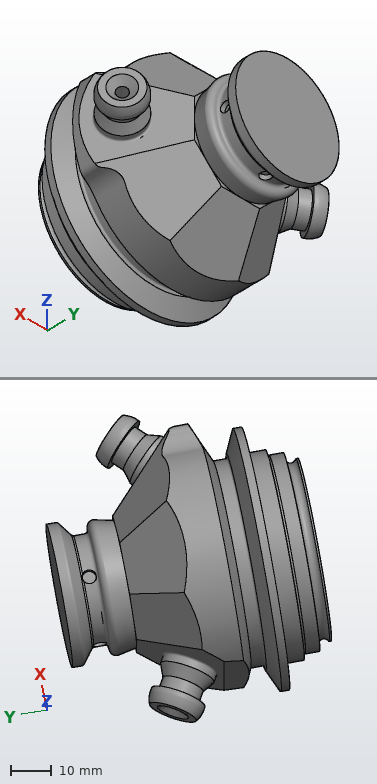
import cadquery as cq
import math


FACE_RADIUS = 45.9 / 2
FACE_LIP = 0.55
GROOVE_END = 3.3
GROOVE_END_RADIUS = 23.45
GROOVE_DEPTH = 0.9
SPIGOT_RADIUS = 25.0
SPIGOT_END = 6.9
RELIEF_RADIUS = 24.65
RELIEF_END = 7.5
SHOULDER_RADIUS = 52.85 / 2
FLANGE_START = 12.4
FLANGE_RADIUS = 66.0 / 2
FLANGE_RIM_END = 14.5
WAIST_RADIUS = 26.0
FLANGE_CONE_RADIUS = 27.2
FLANGE_CONE_END = 17.2
WAIST_FILLET = 0.5

FACETS = 8
BODY_START = 20.8
BODY_RADIUS = 31.1
BODY_END = 47.6
BODY_TOP_APOTHEM = 16.0
CONE_ANGLE = 24.0
STEEP_ANGLE = 30.0
FLAT_ANGLE = 5.0
FACET_ANGLE = 45.0
FLAT_TOP = 27.8

LUG_RADIUS = 36.1
LUG_HALF_WIDTH = 14.5
LUG_BLEND = 6.3
LUG_CORNER = 2.0

COLLAR_RADIUS = 17.0
COLLAR_END = 52.45
COLLAR_ROUND = 1.75
NECK_RADIUS = 14.0
NECK_FLARE = 0.9
NECK_END = 58.0
LIP_UNDERSIDE = 58.5
LIP_UNDER_RADIUS = 14.35
LIP_RADIUS = 18.0
LIP_EDGE_RADIUS = 17.7
LIP_EDGE_START = 61.0
LIP_START = 61.65
LIP_EDGE_SAG = 0.1
TOTAL_LENGTH = 64.0
DIMPLE_DIAMETER = 3.5
DIMPLE_DEPTH = 1.6
DIMPLE_Y = 56.5

PORT_RADIUS = 14.0 / 2
PORT_FOOT_RADIUS = 7.5
PORT_FOOT_HEIGHT = 0.5
PORT_BASE_HEIGHT = 2.2
PORT_NECK_RADIUS = 10.5 / 2
PORT_NECK_START = 5.4
PORT_RIM_START = 8.9
PORT_RIM_END = 10.2
PORT_LENGTH = 12.9
PORT_TIP_RADIUS = 6.1
PORT_BORE_RADIUS = 1.75
PORT_MOUTH_RADIUS = 4.05
PORT_MOUTH_DEPTH = 2.05
PORT_ROOT = 2.4
LEFT_PORT_DISTANCE = 14.0
RIGHT_PORT_DISTANCE = 17.75


def revolve_about_y(outline):
    return outline.close().revolve(360, (0, 0, 0), (0, 1, 0))


def make_front_end():
    fillet_offset = WAIST_FILLET * (1 - math.sqrt(0.5))
    groove_middle = (FACE_RADIUS - GROOVE_DEPTH, (FACE_LIP + GROOVE_END) / 2)
    outline = (
        cq.Workplane("XY")
        .lineTo(FACE_RADIUS, 0)
        .lineTo(FACE_RADIUS, FACE_LIP)
        .threePointArc(groove_middle, (GROOVE_END_RADIUS, GROOVE_END))
        .lineTo(SPIGOT_RADIUS, GROOVE_END)
        .lineTo(SPIGOT_RADIUS, SPIGOT_END)
        .lineTo(RELIEF_RADIUS, SPIGOT_END)
        .lineTo(RELIEF_RADIUS, RELIEF_END)
        .lineTo(SHOULDER_RADIUS, RELIEF_END)
        .lineTo(SHOULDER_RADIUS, FLANGE_START)
        .lineTo(FLANGE_RADIUS, FLANGE_START)
        .lineTo(FLANGE_RADIUS, FLANGE_RIM_END)
        .lineTo(FLANGE_CONE_RADIUS, FLANGE_CONE_END)
        .lineTo(WAIST_RADIUS + WAIST_FILLET, FLANGE_CONE_END)
        .threePointArc(
            (WAIST_RADIUS + fillet_offset, FLANGE_CONE_END + fillet_offset),
            (WAIST_RADIUS, FLANGE_CONE_END + WAIST_FILLET))
        .lineTo(WAIST_RADIUS, BODY_START)
        .lineTo(0, BODY_START)
    )
    return revolve_about_y(outline)


def make_lug(length):
    """Prism with concave blends into the body cylinder and rounded outer corners."""
    blend_z = LUG_HALF_WIDTH + LUG_BLEND
    blend_x = math.sqrt((BODY_RADIUS + LUG_BLEND) ** 2 - blend_z ** 2)
    share = BODY_RADIUS / (BODY_RADIUS + LUG_BLEND)
    root = (blend_x * share, blend_z * share)
    start_angle = math.atan2(-blend_z, -blend_x)
    middle_angle = (start_angle - math.pi / 2) / 2
    middle = (
        blend_x + LUG_BLEND * math.cos(middle_angle),
        blend_z + LUG_BLEND * math.sin(middle_angle),
    )
    side_end = (blend_x, LUG_HALF_WIDTH)
    corner = (math.sqrt(LUG_RADIUS ** 2 - LUG_HALF_WIDTH ** 2), LUG_HALF_WIDTH)

    def mirrored(point):
        return (point[0], -point[1])

    outer_corners = cq.selectors.BoxSelector(
        (corner[0] - 0.8, BODY_START, -LUG_HALF_WIDTH - 0.8),
        (corner[0] + 0.8, BODY_START + length, LUG_HALF_WIDTH + 0.8),
    )
    return (
        cq.Workplane("XZ", origin=(0, BODY_START + length, 0))
        .moveTo(0, 0)
        .lineTo(*root)
        .threePointArc(middle, side_end)
        .lineTo(*corner)
        .threePointArc((LUG_RADIUS, 0), mirrored(corner))
        .lineTo(*mirrored(side_end))
        .threePointArc(mirrored(middle), mirrored(root))
        .close()
        .extrude(length)
        .edges(outer_corners)
        .edges("|Y")
        .fillet(LUG_CORNER)
    )


def make_body():
    length = BODY_END - BODY_START
    drum = cq.Workplane("XZ", origin=(0, BODY_END, 0)).circle(BODY_RADIUS).extrude(length)
    drum = drum.union(make_lug(length))

    cone_reach = LUG_RADIUS + 0.8
    cone_height = (cone_reach - WAIST_RADIUS) * math.tan(math.radians(CONE_ANGLE))
    cone = revolve_about_y(
        cq.Workplane("XY")
        .moveTo(0, BODY_START)
        .lineTo(WAIST_RADIUS, BODY_START)
        .lineTo(cone_reach, BODY_START + cone_height)
        .lineTo(cone_reach, BODY_END)
        .lineTo(0, BODY_END)
    )

    def octagon_diameter(apothem):
        return 2 * apothem / math.cos(math.pi / FACETS)

    half_step = 180 / FACETS
    base_apothem = BODY_TOP_APOTHEM + length * math.tan(math.radians(FACET_ANGLE))
    pyramid = (
        cq.Workplane("XZ", origin=(0, BODY_END, 0))
        .transformed(rotate=(0, 0, half_step))
        .polygon(FACETS, octagon_diameter(BODY_TOP_APOTHEM))
        .workplane(offset=length)
        .polygon(FACETS, octagon_diameter(base_apothem))
        .loft(ruled=True)
    )

    flat_x = BODY_TOP_APOTHEM + (BODY_END - FLAT_TOP) * math.tan(math.radians(STEEP_ANGLE))
    flat_base_x = flat_x + (FLAT_TOP - BODY_START) * math.tan(math.radians(FLAT_ANGLE))
    outside = 2 * LUG_RADIUS
    side_limit = (
        cq.Workplane("XY")
        .moveTo(-BODY_TOP_APOTHEM, BODY_END)
        .lineTo(-flat_x, FLAT_TOP)
        .lineTo(-flat_base_x, BODY_START)
        .lineTo(outside, BODY_START)
        .lineTo(outside, BODY_END)
        .close()
        .extrude(outside, both=True)
    )
    return drum.intersect(cone).intersect(pyramid).intersect(side_limit)


def make_neck():
    collar_top = COLLAR_END + COLLAR_ROUND
    neck_start = collar_top + NECK_FLARE
    round_offset = COLLAR_ROUND * (1 - math.sqrt(0.5))
    lip_middle = (LIP_RADIUS - LIP_EDGE_SAG, (LIP_EDGE_START + LIP_START) / 2)
    flare_offset = NECK_FLARE * (1 - math.sqrt(0.5))
    outline = (
        cq.Workplane("XY")
        .moveTo(0, BODY_END)
        .lineTo(BODY_TOP_APOTHEM, BODY_END)
        .lineTo(COLLAR_RADIUS, COLLAR_END)
        .threePointArc(
            (COLLAR_RADIUS - round_offset, collar_top - round_offset),
            (COLLAR_RADIUS - COLLAR_ROUND, collar_top))
        .lineTo(NECK_RADIUS + NECK_FLARE, collar_top)
        .threePointArc(
            (NECK_RADIUS + flare_offset, neck_start - NECK_FLARE * math.sqrt(0.5)),
            (NECK_RADIUS, neck_start))
        .lineTo(NECK_RADIUS, NECK_END)
        .lineTo(LIP_UNDER_RADIUS, LIP_UNDERSIDE)
        .lineTo(LIP_EDGE_RADIUS, LIP_EDGE_START)
        .threePointArc(lip_middle, (LIP_RADIUS, LIP_START))
        .lineTo(LIP_RADIUS, TOTAL_LENGTH)
        .lineTo(0, TOTAL_LENGTH)
    )
    neck = revolve_about_y(outline)
    for turn in range(4):
        dimple = (
            cq.Workplane("XY", origin=(0, DIMPLE_Y, NECK_RADIUS - DIMPLE_DEPTH))
            .circle(DIMPLE_DIAMETER / 2)
            .extrude(LIP_RADIUS)
        )
        neck = neck.cut(dimple.rotate((0, 0, 0), (0, 1, 0), 90 * turn))
    return neck


def place_port(shape, side, slope_angle, distance):
    """Move a shape built along +Y onto a facet; side is -1 for -X and +1 for +X."""
    slope = math.radians(slope_angle)
    x = side * (BODY_TOP_APOTHEM + distance * math.sin(slope))
    y = BODY_END - distance * math.cos(slope)
    tilt = -side * (90 - slope_angle)
    return shape.rotate((0, 0, 0), (0, 0, 1), tilt).translate((x, y, 0))


def make_port():
    foot_inset = (PORT_FOOT_RADIUS - PORT_RADIUS) * (1 - math.sqrt(0.5))
    foot_middle = (PORT_RADIUS + foot_inset, PORT_FOOT_HEIGHT * (1 - math.sqrt(0.5)))
    tip_middle = (
        PORT_TIP_RADIUS + (PORT_RADIUS - PORT_TIP_RADIUS) * math.sqrt(0.5),
        (PORT_RIM_END + PORT_LENGTH) / 2,
    )
    outline = (
        cq.Workplane("XY")
        .moveTo(0, -PORT_ROOT)
        .lineTo(PORT_RADIUS, -PORT_ROOT)
        .lineTo(PORT_RADIUS, 0)
        .lineTo(PORT_FOOT_RADIUS, 0)
        .threePointArc(foot_middle, (PORT_RADIUS, PORT_FOOT_HEIGHT))
        .lineTo(PORT_RADIUS, PORT_BASE_HEIGHT)
        .lineTo(PORT_NECK_RADIUS, PORT_NECK_START)
        .lineTo(PORT_NECK_RADIUS, PORT_RIM_START)
        .lineTo(PORT_RADIUS, PORT_RIM_START)
        .lineTo(PORT_RADIUS, PORT_RIM_END)
        .threePointArc(tip_middle, (PORT_TIP_RADIUS, PORT_LENGTH))
        .lineTo(0, PORT_LENGTH)
    )
    return revolve_about_y(outline)


def make_port_bore():
    outline = (
        cq.Workplane("XY")
        .lineTo(PORT_BORE_RADIUS, 0)
        .lineTo(PORT_BORE_RADIUS, PORT_LENGTH - PORT_MOUTH_DEPTH)
        .lineTo(PORT_MOUTH_RADIUS, PORT_LENGTH)
        .lineTo(0, PORT_LENGTH)
    )
    return revolve_about_y(outline)


result = make_front_end().union(make_body()).union(make_neck())
for port_place in ((-1, STEEP_ANGLE, LEFT_PORT_DISTANCE), (1, FACET_ANGLE, RIGHT_PORT_DISTANCE)):
    result = result.union(place_port(make_port(), *port_place))
    result = result.cut(place_port(make_port_bore(), *port_place))